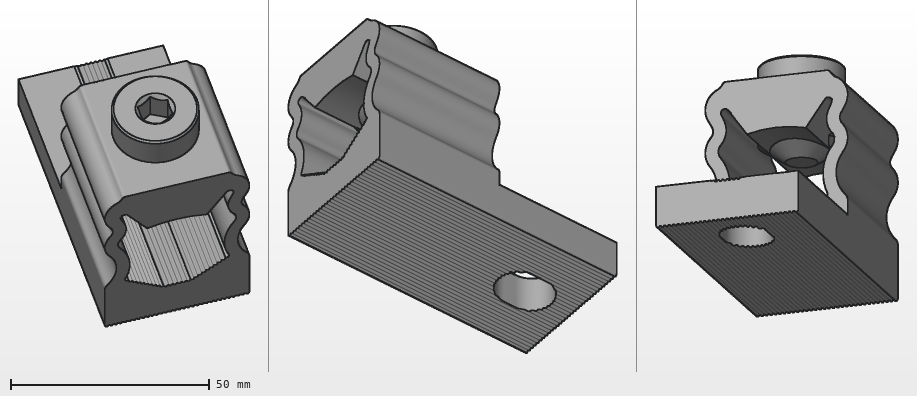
import cadquery as cq
import math

length = 75.0
half_width = 19.05
housing_start = 37.05
deck_height = 10.95
housing_top = 49.95

ripple_pitch = half_width / 16
half_pitch = ripple_pitch / 2
underside_half_pitches = 31
ripple_flank_angle = math.radians(45)
ripple_round = ripple_pitch / 8 / math.sin(ripple_flank_angle)
ripple_depth = (
    ripple_pitch / 4 * math.tan(ripple_flank_angle)
    + 2 * ripple_round * (1 - math.cos(ripple_flank_angle))
)
edge_tooth_height = 0.75
floor_crest_height = 10.9
floor_flat_half_pitches = 6
floor_slope_half_pitches = 18
floor_slope_angle = math.radians(31)
floor_corner_radius = 0.75

wall = 3.5
shoulder_radius = 2.4
waist_radius = 8.7
waist_half_width = 16.0
waist_height = 22.5
bulge_radius = 6.0
valley_radius = 2.4
valley_half_width = 16.95
crown_radius = 5.7
crown_height = 42.9

top_half_width = 13.35
top_edge_end = (14.3, 49.5)
top_edge_radius = 1.1
neck_radius = 3.75
neck_end_y = 16.05

boss_half_width = 7.9
boss_corner_height = 35.3
boss_centre_height = 36.3
slot_radius = 1.05
slot_centre = (13.8, 41.7)

screw_x = (housing_start + length) / 2
screw_radius = 11.0
screw_top = 58.0
screw_chamfer = 0.5
screw_cone_start = 37.35
screw_tip_height = 32.9
screw_tip_radius = 4.1
socket_flats = 7.8
socket_depth = 7.5
socket_mouth_radius = 5.0

mount_slot_x = 14.6
mount_slot_length = 16.5
mount_slot_width = 12.6


def stacked_height(height, dy, radius_sum, direction):
    """Height of a circle that touches another one whose centre is dy to the side."""
    return height + direction * math.sqrt(radius_sum**2 - dy**2)


def crossing_tangent(start, start_radius, end, end_radius, side):
    """Ends of the straight line that touches two circles on opposite sides.

    Seen from start to end, the line leaves the first circle on the left (side 1) or right (side -1).
    """
    dy = end[0] - start[0]
    dz = end[1] - start[1]
    ratio = min(1.0, (start_radius + end_radius) / math.hypot(dy, dz))
    angle = math.atan2(dz, dy) + side * math.acos(ratio)
    uy = math.cos(angle)
    uz = math.sin(angle)
    first = (start[0] + start_radius * uy, start[1] + start_radius * uz)
    second = (end[0] - end_radius * uy, end[1] - end_radius * uz)
    return first, second


def add_ripples(path, start, angle, half_pitches, first_bulge):
    """Continue the path with rounded teeth, from one extreme of the wave to another.

    first_bulge is 1 when the wave starts by bulging to the left of its direction, -1 to the right.
    """
    round_width = ripple_round * math.sin(ripple_flank_angle)
    round_drop = ripple_round * (1 - math.cos(ripple_flank_angle))

    def place(along, drop):
        across = -first_bulge * drop
        y = start[0] + along * math.cos(angle) - across * math.sin(angle)
        z = start[1] + along * math.sin(angle) + across * math.cos(angle)
        return y, z

    bulge = first_bulge
    for k in range(half_pitches):
        drops = (round_drop, ripple_depth - round_drop)
        if bulge != first_bulge:
            drops = drops[::-1]
        flank_start = place(k * half_pitch + round_width, drops[0])
        flank_end = place((k + 1) * half_pitch - round_width, drops[1])
        path = path.radiusArc(flank_start, bulge * ripple_round).lineTo(*flank_end)
        bulge = -bulge
    end_drop = 0 if bulge == first_bulge else ripple_depth
    return path.radiusArc(place(half_pitches * half_pitch, end_drop), bulge * ripple_round)


def half_section():
    """Closed outline of the housing on the +Y side of its middle plane."""
    waist = (waist_half_width + waist_radius, waist_height)
    bulge_y = half_width - bulge_radius
    bulge = (bulge_y, stacked_height(waist_height, waist[0] - bulge_y, waist_radius + bulge_radius, 1))
    valley_y = valley_half_width + valley_radius
    valley = (valley_y, stacked_height(bulge[1], valley_y - bulge_y, bulge_radius + valley_radius, 1))
    crown = (half_width - crown_radius, crown_height)
    shoulder_y = half_width - shoulder_radius
    shoulder_sum = waist_radius + shoulder_radius
    shoulder = (shoulder_y, stacked_height(waist_height, waist[0] - shoulder_y, shoulder_sum, -1))

    shoulder_end, _ = crossing_tangent(shoulder, shoulder_radius, waist, waist_radius, 1)
    waist_end, _ = crossing_tangent(waist, waist_radius, bulge, bulge_radius, 1)
    bulge_end, _ = crossing_tangent(bulge, bulge_radius, valley, valley_radius, 1)
    valley_end, crown_start = crossing_tangent(valley, valley_radius, crown, crown_radius, 1)
    neck_rise = math.sqrt(crown_radius**2 - (neck_end_y - crown[0]) ** 2)
    neck_end = (neck_end_y, crown_height + neck_rise)

    inner_waist_radius = waist_radius + wall
    inner_bulge_radius = bulge_radius - wall
    inner_valley_radius = valley_radius + wall
    boss_corner = (boss_half_width, boss_corner_height)
    _, slot_start = crossing_tangent(boss_corner, 0, slot_centre, slot_radius, -1)
    slot_top = (slot_centre[0], slot_centre[1] + slot_radius)
    slot_end, inner_valley_start = crossing_tangent(
        slot_centre, slot_radius, valley, inner_valley_radius, 1
    )
    inner_valley_end, _ = crossing_tangent(valley, inner_valley_radius, bulge, inner_bulge_radius, 1)
    inner_bulge_end, _ = crossing_tangent(bulge, inner_bulge_radius, waist, inner_waist_radius, 1)

    slope_foot = (floor_flat_half_pitches * half_pitch, floor_crest_height)
    slope_length = floor_slope_half_pitches * half_pitch
    slope_top = (
        slope_foot[0] + slope_length * math.cos(floor_slope_angle),
        slope_foot[1] + slope_length * math.sin(floor_slope_angle),
    )
    floor_corner_z = slope_top[1] + floor_corner_radius
    waist_reach = math.sqrt(inner_waist_radius**2 - (floor_corner_z - waist_height) ** 2)
    floor_corner = (waist[0] - waist_reach, floor_corner_z)

    edge_tooth_width = half_width - underside_half_pitches * half_pitch
    edge_tooth_radius = (edge_tooth_width**2 + edge_tooth_height**2) / (2 * edge_tooth_width)

    groove_top = (0, ripple_depth)
    path = cq.Workplane("YZ").moveTo(*groove_top)
    path = add_ripples(path, groove_top, 0, underside_half_pitches, 1)
    path = (
        path.radiusArc((half_width, edge_tooth_height), -edge_tooth_radius)
        .lineTo(half_width, shoulder[1])
        .radiusArc(shoulder_end, -shoulder_radius)
        .radiusArc(waist_end, waist_radius)
        .radiusArc(bulge_end, -bulge_radius)
        .radiusArc(valley_end, valley_radius)
        .lineTo(*crown_start)
        .radiusArc(neck_end, -crown_radius)
        .radiusArc(top_edge_end, neck_radius)
        .radiusArc((top_half_width, housing_top), -top_edge_radius)
        .lineTo(0, housing_top)
        .lineTo(0, boss_centre_height)
    )

    boss_rise = boss_centre_height - boss_corner_height
    boss_radius = (boss_half_width**2 + boss_rise**2) / (2 * boss_rise)
    path = (
        path.radiusArc(boss_corner, boss_radius)
        .lineTo(*slot_start)
        .threePointArc(slot_top, slot_end)
        .lineTo(*inner_valley_start)
        .radiusArc(inner_valley_end, -inner_valley_radius)
        .radiusArc(inner_bulge_end, inner_bulge_radius)
        .radiusArc(floor_corner, -inner_waist_radius)
        .radiusArc(slope_top, floor_corner_radius)
    )
    path = add_ripples(path, slope_top, math.pi + floor_slope_angle, floor_slope_half_pitches, -1)
    path = add_ripples(path, slope_foot, math.pi, floor_flat_half_pitches, -1)
    return path.close()


def make_body():
    """Extruded clamp profile, cut down to a flat tongue in front of the housing."""
    half = half_section().extrude(length)
    body = half.union(half.mirror("XZ")).clean()
    above_deck = cq.Workplane("XY").box(
        housing_start, 2 * half_width, housing_top, centered=(False, True, False)
    )
    body = body.cut(above_deck.translate((0, 0, deck_height)))
    mount_slot = (
        cq.Workplane("XY")
        .center(mount_slot_x, 0)
        .slot2D(mount_slot_length, mount_slot_width)
        .extrude(housing_top)
    )
    return body.cut(mount_slot)


def make_screw():
    """Round-headed clamp screw with a conical tip, standing on the Z axis."""
    return (
        cq.Workplane("XZ")
        .moveTo(0, screw_tip_height)
        .lineTo(screw_tip_radius, screw_tip_height)
        .lineTo(screw_radius, screw_cone_start)
        .lineTo(screw_radius, screw_top - screw_chamfer)
        .lineTo(screw_radius - screw_chamfer, screw_top)
        .lineTo(0, screw_top)
        .close()
        .revolve(360, (0, 0), (0, 1))
    )


def make_socket():
    """Hexagonal key socket with a 45 degree countersunk mouth."""
    hexagon = (
        cq.Workplane("XY", origin=(0, 0, screw_top))
        .polygon(6, socket_flats / math.cos(math.pi / 6))
        .extrude(-socket_depth)
    )
    mouth = cq.Workplane(
        cq.Solid.makeCone(0, socket_mouth_radius, socket_mouth_radius)
    ).translate((0, 0, screw_top - socket_mouth_radius))
    return hexagon.union(mouth)


screw_position = (screw_x, 0, 0)
body = make_body().union(make_screw().translate(screw_position))
result = body.cut(make_socket().translate(screw_position))